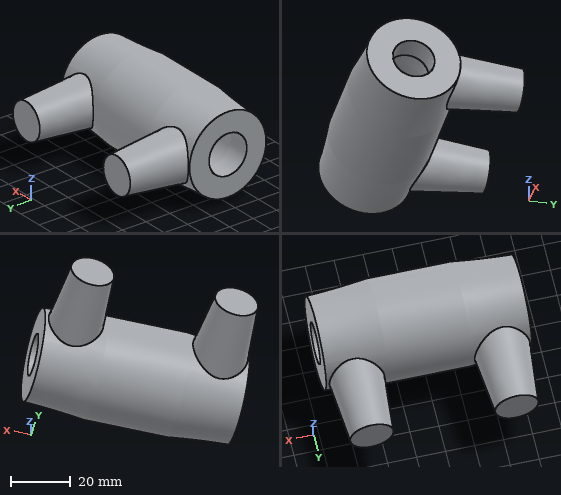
import cadquery as cq

body_length = 71.0
body_diameter = 36.0
end_diameter = 32.45
end_length = 21.0
end_profile_dip = 0.2

left_mouth_diameter = 16.0
right_mouth_diameter = 14.4
chamber_diameter = 20.0
mouth_depth = 9.0
flare_length = 10.0

overall_width = 57.0
branch_length = 25.55
branch_inset = 10.5
branch_tip_diameter = 15.0
left_branch_root_diameter = 20.15
right_branch_root_diameter = 19.25

half_length = body_length / 2
branch_reach = overall_width - body_diameter / 2
branch_x = half_length - branch_inset


def make_body():
    """Barrel with a cylindrical middle and concave tapered ends, before boring."""
    body_radius = body_diameter / 2
    end_radius = end_diameter / 2
    middle_half = half_length - end_length
    arc_x = (half_length + middle_half) / 2
    arc_radius = (body_radius + end_radius) / 2 - end_profile_dip
    profile = (
        cq.Workplane("XY")
        .moveTo(-half_length, 0)
        .lineTo(-half_length, end_radius)
        .threePointArc((-arc_x, arc_radius), (-middle_half, body_radius))
        .lineTo(middle_half, body_radius)
        .threePointArc((arc_x, arc_radius), (half_length, end_radius))
        .lineTo(half_length, 0)
        .close()
    )
    return profile.revolve(360, (0, 0, 0), (1, 0, 0))


def make_branch(x, root_diameter):
    """Solid cone along +Y, with its root buried in the body wall."""
    cone = cq.Solid.makeCone(
        root_diameter / 2,
        branch_tip_diameter / 2,
        branch_length,
        pnt=cq.Vector(x, branch_reach - branch_length, 0),
        dir=cq.Vector(0, 1, 0),
    )
    return cq.Workplane(obj=cone)


def make_bore():
    """Through bore along X: left mouth, chamber flared at both ends, flat step, right mouth."""
    left_radius = left_mouth_diameter / 2
    right_radius = right_mouth_diameter / 2
    chamber_radius = chamber_diameter / 2
    mouth_end = half_length - mouth_depth
    flare_end = mouth_end - flare_length
    profile = (
        cq.Workplane("XY")
        .moveTo(-half_length, 0)
        .lineTo(-half_length, left_radius)
        .lineTo(-mouth_end, left_radius)
        .lineTo(-flare_end, chamber_radius)
        .lineTo(flare_end, chamber_radius)
        .lineTo(mouth_end, left_radius)
        .lineTo(mouth_end, right_radius)
        .lineTo(half_length, right_radius)
        .lineTo(half_length, 0)
        .close()
    )
    return profile.revolve(360, (0, 0, 0), (1, 0, 0))


left_branch = make_branch(-branch_x, left_branch_root_diameter)
right_branch = make_branch(branch_x, right_branch_root_diameter)
result = make_body().union(left_branch).union(right_branch).cut(make_bore())